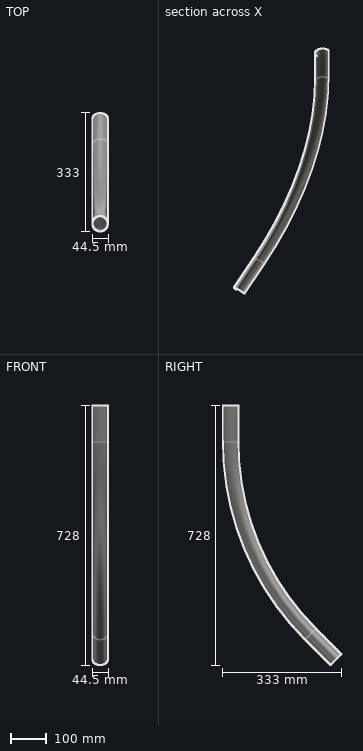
import cadquery as cq
import math

OUTER_DIAMETER = 44.45
INNER_DIAMETER = 41.25
BEND_RADIUS = 762.0
BEND_ANGLE = 45.0
STRAIGHT_LENGTH = 101.6


def bend_point(angle):
    """Centreline point (Y, Z) after bending through the given angle in degrees."""
    turn = math.radians(angle)
    return (BEND_RADIUS * (1 - math.cos(turn)), -BEND_RADIUS * math.sin(turn))


def centreline():
    """Path in the YZ plane: down from the upper end, then curving toward +Y."""
    bend_end = bend_point(BEND_ANGLE)
    end_turn = math.radians(BEND_ANGLE)
    lower_end = (
        bend_end[0] + STRAIGHT_LENGTH * math.sin(end_turn),
        bend_end[1] - STRAIGHT_LENGTH * math.cos(end_turn),
    )
    return (
        cq.Workplane("YZ")
        .moveTo(0, STRAIGHT_LENGTH)
        .lineTo(0, 0)
        .threePointArc(bend_point(BEND_ANGLE / 2), bend_end)
        .lineTo(*lower_end)
    )


def tube():
    """Ring section swept along the centreline, open at both ends."""
    section = (
        cq.Workplane("XY")
        .workplane(offset=STRAIGHT_LENGTH)
        .circle(OUTER_DIAMETER / 2)
        .circle(INNER_DIAMETER / 2)
    )
    return section.sweep(centreline())


result = tube()